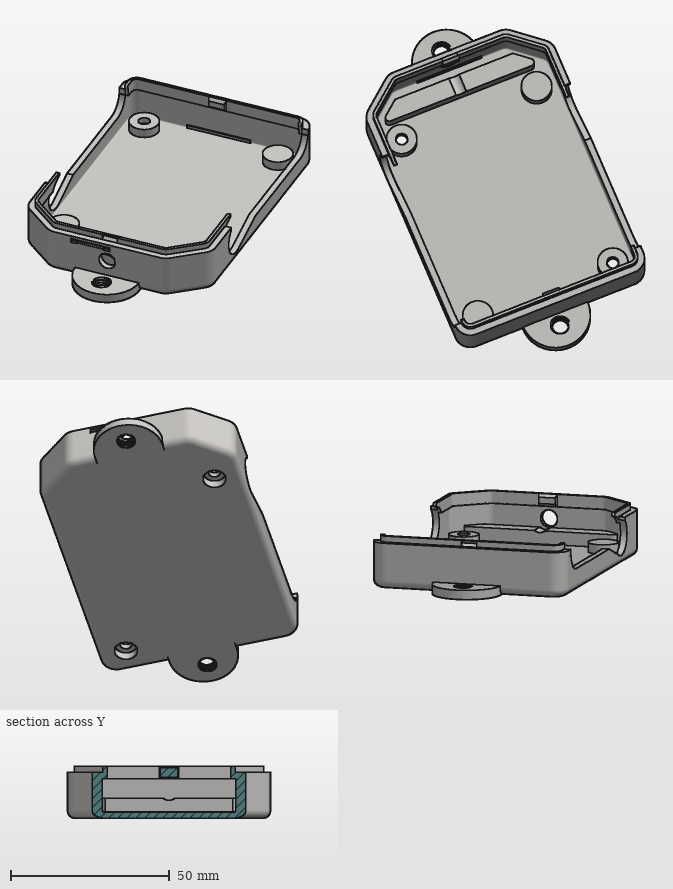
import cadquery as cq
import math

width = 64.0
length = 90.0
half_width = width / 2
half_length = length / 2
corner_radius = 5.0
chamfer_x = 12.1
chamfer_y = 10.0
wall_top = 14.6
wall = 2.1
floor = 2.0
bottom_radius = 2.5
floor_fillet = 0.5

lip_thickness = 1.0
lip_bottom = 12.4
lip_top = 16.5
lip_tip_radius = 0.5

ear_radius = 11.0
ear_height = 3.0
ear_root_depth = 2.5
ear_hole_y = 49.0
thread_minor = 5.2
thread_major = 6.4
thread_pitch = 1.0
thread_start_angle = -45

boss_diameter = 9.6
boss_top = 5.0
boss_x = 23.0
boss_back_y = 36.6
boss_front_y = -26.4
screw_hole = 3.7
screw_head = 7.2
screw_head_depth = 3.0

block_top = 6.3
block_back_y = -32.9
block_front_y = -39.0
block_front_half_width = 20.0
block_corner_radius = 1.2
bore_diameter = 5.5
bore_z = 8.4

leader_left = -12.5
leader_right = 0.9
leader_top = 13.5
leader_thickness = 1.0
leader_foot_width = 2.0
leader_foot_height = 1.3
leader_depth = 1.0

opening_radius = 6.0
slot_end_y = -16.5
slot_end_z = 9.1
sill_z = 7.4
left_slot_angle = 20
right_slot_angle = 17.5
left_back_arc_y = 31.6
right_back_arc_y = 33.7
trim_front_y = -20.5

detent_depth = 1.0
detent_width = 5.0
rib_base_width = 6.0
rib_tip_width = 5.4


def prism(inset, z_low, z_high):
    """The body outline moved inward by inset and extruded between two heights."""
    body = (
        cq.Workplane("XY")
        .polyline([
            (-half_width, half_length),
            (half_width, half_length),
            (half_width, -half_length + chamfer_y),
            (half_width - chamfer_x, -half_length),
            (-half_width + chamfer_x, -half_length),
            (-half_width, -half_length + chamfer_y),
        ])
        .close()
        .extrude(z_high - z_low)
        .edges("|Z")
        .fillet(corner_radius)
        .translate((0, 0, z_low))
    )
    if inset == 0:
        return body
    outline = body.faces("<Z").wires().val()
    inner_outline = outline.offset2D(-inset)[0]
    return cq.Workplane(obj=inner_outline).toPending().extrude(z_high - z_low)


def tray():
    outside = prism(0, 0, wall_top).faces("<Z").edges().fillet(bottom_radius)
    cavity = prism(wall, floor, wall_top).faces("<Z").edges().fillet(floor_fillet)
    return outside.cut(cavity)


def lip_ring():
    outside = prism(wall, lip_bottom, lip_top)
    inside = prism(wall + lip_thickness, lip_bottom, lip_top)
    return outside.cut(inside)


def side_opening(side, slot_angle, back_arc_y):
    """Cutter for one long wall; side is -1 for the left wall and 1 for the right wall."""
    r = opening_radius
    tilt = math.radians(slot_angle)
    rise = math.tan(tilt)
    across_y = r * math.sin(tilt)
    across_z = r * math.cos(tilt)

    low_tangent = (slot_end_y + across_y, slot_end_z - across_z)
    high_tangent = (slot_end_y - across_y, slot_end_z + across_z)
    slot_end = (slot_end_y - across_z, slot_end_z - across_y)
    sill_front = (low_tangent[0] - (low_tangent[1] - sill_z) / rise, sill_z)
    mouth_front = (high_tangent[0] + (lip_top - high_tangent[1]) / rise, lip_top)

    back_arc_z = sill_z + r
    mouth_back = (back_arc_y + math.sqrt(r**2 - (lip_top - back_arc_z) ** 2), lip_top)
    back_arc_mid = (back_arc_y + r * math.cos(math.pi / 6), back_arc_z - r * math.sin(math.pi / 6))

    opening = (
        cq.Workplane("YZ")
        .moveTo(*low_tangent)
        .threePointArc(slot_end, high_tangent)
        .lineTo(*mouth_front)
        .lineTo(*mouth_back)
        .threePointArc(back_arc_mid, (back_arc_y, sill_z))
        .lineTo(*sill_front)
        .close()
        .extrude(side * width)
    )
    trim_length = back_arc_y + r - trim_front_y
    trim = (
        cq.Workplane("XY")
        .box(wall, trim_length, lip_top - lip_bottom, centered=(True, False, False))
        .translate((side * (half_width - wall / 2), trim_front_y, lip_bottom))
    )
    return opening.union(trim)


def round_lip_tips(lip):
    """Round the top edges of the lip where the side openings end it."""
    reach_y = half_length - corner_radius
    margin = 0.1
    opening_ends = cq.selectors.BoxSelector(
        (-width, -reach_y, lip_top - margin),
        (width, reach_y, lip_top + margin),
    )
    return lip.edges(opening_ends).edges("|X").fillet(lip_tip_radius)


def cylinder(x, y, diameter, z_low, z_high):
    return cq.Workplane("XY", origin=(x, y, z_low)).circle(diameter / 2).extrude(z_high - z_low)


def thread_groove():
    """Helical V groove around the Z axis, running out through both faces of an ear."""
    turns = math.ceil(ear_height / thread_pitch) + 2
    start_z = ear_height - (turns - 1) * thread_pitch
    half_groove = 0.45 * thread_pitch
    bore_radius = thread_minor / 2
    inner_radius = bore_radius - 0.1
    helix = cq.Workplane(obj=cq.Wire.makeHelix(thread_pitch, turns * thread_pitch, bore_radius))
    return (
        cq.Workplane("ZX")
        .polyline([
            (-half_groove, inner_radius),
            (0, thread_major / 2),
            (half_groove, inner_radius),
        ])
        .close()
        .sweep(helix, isFrenet=True)
        .rotate((0, 0, 0), (0, 0, 1), thread_start_angle)
        .translate((0, 0, start_z))
    )


def ear(side):
    """Half-round ear with a threaded hole, its root passing through the end wall."""
    end_y = side * half_length
    plate = (
        cq.Workplane("XY")
        .moveTo(-ear_radius, end_y)
        .threePointArc((0, end_y + side * ear_radius), (ear_radius, end_y))
        .lineTo(ear_radius, end_y - side * ear_root_depth)
        .lineTo(-ear_radius, end_y - side * ear_root_depth)
        .close()
        .extrude(ear_height)
    )
    hole_y = side * ear_hole_y
    groove = thread_groove().translate((0, hole_y, 0))
    return plate.cut(groove).cut(cylinder(0, hole_y, thread_minor, 0, ear_height))


def support_block():
    """Block with its slanted ends parallel to the front chamfers of the body."""
    back_half_width = block_front_half_width + (block_back_y - block_front_y) * chamfer_x / chamfer_y
    return (
        cq.Workplane("XY", origin=(0, 0, floor))
        .polyline([
            (-back_half_width, block_back_y),
            (back_half_width, block_back_y),
            (block_front_half_width, block_front_y),
            (-block_front_half_width, block_front_y),
        ])
        .close()
        .extrude(block_top - floor)
        .edges("|Z and >Y")
        .fillet(block_corner_radius)
    )


def front_bore():
    """Bore through the front wall that also grooves the top of the support block."""
    return (
        cq.Workplane("XZ", origin=(0, block_back_y, bore_z))
        .circle(bore_diameter / 2)
        .extrude(half_length + block_back_y)
    )


def leader_engraving():
    foot_z = leader_top - leader_foot_height
    under_z = leader_top - leader_thickness
    left_foot = leader_left + leader_foot_width
    right_foot = leader_right - leader_foot_width
    return (
        cq.Workplane("XZ", origin=(0, -half_length + leader_depth, 0))
        .polyline([
            (leader_left, foot_z),
            (leader_left, leader_top),
            (leader_right, leader_top),
            (leader_right, foot_z),
            (right_foot, foot_z),
            (right_foot, under_z),
            (left_foot, under_z),
            (left_foot, foot_z),
        ])
        .close()
        .extrude(leader_depth)
    )


def detent_rib(side):
    """Rib on the inner face of an end lip, sloped at its top and bottom."""
    face_y = half_length - wall - lip_thickness
    tip_y = face_y - detent_depth
    plan = (
        cq.Workplane("XY", origin=(0, 0, lip_bottom))
        .polyline([
            (-rib_base_width / 2, face_y),
            (rib_base_width / 2, face_y),
            (rib_tip_width / 2, tip_y),
            (-rib_tip_width / 2, tip_y),
        ])
        .close()
        .extrude(lip_top - lip_bottom)
    )
    section = (
        cq.Workplane("YZ")
        .polyline([
            (face_y, lip_bottom),
            (face_y, lip_top),
            (tip_y, lip_top - detent_depth),
            (tip_y, lip_bottom + detent_depth),
        ])
        .close()
        .extrude(rib_base_width / 2, both=True)
    )
    rib = plan.intersect(section)
    return rib if side > 0 else rib.mirror("XZ")


def detent_groove(side):
    """V groove on the outer face of an end lip."""
    face_y = half_length - wall
    groove = (
        cq.Workplane("YZ")
        .polyline([
            (face_y, wall_top),
            (face_y - detent_depth, (wall_top + lip_top) / 2),
            (face_y, lip_top),
        ])
        .close()
        .extrude(detent_width / 2, both=True)
    )
    return groove if side > 0 else groove.mirror("XZ")


left_opening = side_opening(-1, left_slot_angle, left_back_arc_y)
right_opening = side_opening(1, right_slot_angle, right_back_arc_y)
lip = round_lip_tips(lip_ring().cut(left_opening).cut(right_opening))
result = tray().cut(left_opening).cut(right_opening).union(lip)

for side in (-1, 1):
    result = result.union(ear(side)).union(detent_rib(side)).cut(detent_groove(side))

for x in (-boss_x, boss_x):
    for y in (boss_front_y, boss_back_y):
        result = result.union(cylinder(x, y, boss_diameter, floor, boss_top))
for x, y in ((-boss_x, boss_back_y), (boss_x, boss_front_y)):
    result = result.cut(cylinder(x, y, screw_hole, 0, boss_top))
    result = result.cut(cylinder(x, y, screw_head, 0, screw_head_depth))

result = result.union(support_block()).cut(front_bore()).cut(leader_engraving())